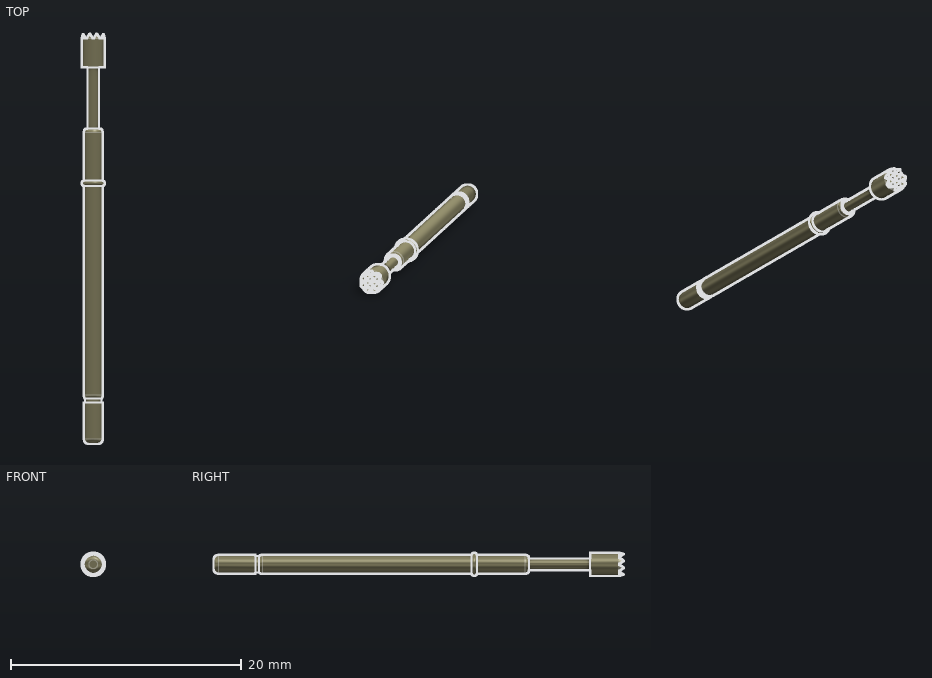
import cadquery as cq
import math

total_length = 35.7
groove_start = 3.65
groove_width = 0.32
flange_center = 22.67
flange_width = 0.45
barrel_end = 27.4
head_start = 32.75

head_radius = 1.017
flange_radius = head_radius
barrel_radius = 0.84
lip_radius = 0.68
groove_radius = 0.732
stem_radius = 0.518

tail_rounding = 0.45
crimp_rounding = tail_rounding

tooth_rows = 4
tooth_pitch = 0.6
tooth_height = 0.45
tooth_bevel = 0.09


def round_bar(radius, start, end):
    """Cylinder along Y between two stations."""
    return cq.Workplane("XZ", origin=(0, start, 0)).circle(radius).extrude(start - end)


def crimp_length(end_radius):
    """Length over which a crimp arc narrows the barrel to the given radius."""
    rise = crimp_rounding - (barrel_radius - end_radius)
    return math.sqrt(crimp_rounding**2 - rise**2)


def crimp_middle(end_radius):
    """Axial run and radial drop of the crimp arc at half its sweep."""
    half_sweep = math.asin(crimp_length(end_radius) / crimp_rounding) / 2
    return crimp_rounding * math.sin(half_sweep), crimp_rounding * (1 - math.cos(half_sweep))


def barrel():
    """Tube rolled inwards at the groove and at the lip, with a rounded tail."""
    groove_end = groove_start + groove_width
    tube_start = groove_end + crimp_length(groove_radius)
    tube_end = barrel_end - crimp_length(lip_radius)
    groove_run, groove_drop = crimp_middle(groove_radius)
    lip_run, lip_drop = crimp_middle(lip_radius)
    tail_flat = barrel_radius - tail_rounding
    tail_bend = tail_rounding * math.sqrt(0.5)
    profile = (
        cq.Workplane("XY")
        .lineTo(tail_flat, 0)
        .threePointArc((tail_flat + tail_bend, tail_rounding - tail_bend), (barrel_radius, tail_rounding))
        .lineTo(barrel_radius, groove_start)
        .lineTo(groove_radius, groove_start)
        .lineTo(groove_radius, groove_end)
        .threePointArc((barrel_radius - groove_drop, tube_start - groove_run), (barrel_radius, tube_start))
        .lineTo(barrel_radius, tube_end)
        .threePointArc((barrel_radius - lip_drop, tube_end + lip_run), (lip_radius, barrel_end))
        .lineTo(0, barrel_end)
        .close()
    )
    return profile.revolve(360, (0, 0, 0), (0, 1, 0))


def flange():
    """Rounded bead standing proud of the barrel."""
    half = flange_width / 2
    section = (
        cq.Workplane("XY", origin=(0, flange_center, 0))
        .moveTo(0, -half)
        .lineTo(barrel_radius, -half)
        .threePointArc((flange_radius, 0), (barrel_radius, half))
        .lineTo(0, half)
        .close()
    )
    return section.revolve(360, (0, 0, 0), (0, 1, 0))


def tooth_groove(offset):
    """V groove along Z at the given X, cut down from the tooth tips."""
    half_mouth = tooth_pitch / 2
    return (
        cq.Workplane("XY", origin=(0, 0, -head_radius))
        .moveTo(offset - half_mouth, total_length)
        .lineTo(offset, total_length - tooth_height)
        .lineTo(offset + half_mouth, total_length)
        .close()
        .extrude(2 * head_radius)
    )


def tooth_corners():
    """Blocks over the four corner cells of the grid, where no tooth fits inside the round head."""
    spacing = (tooth_rows - 1) * tooth_pitch
    return (
        cq.Workplane("XZ", origin=(0, total_length, 0))
        .rarray(spacing, spacing, 2, 2)
        .rect(tooth_pitch, tooth_pitch)
        .extrude(tooth_height)
    )


def head():
    """Round head whose bevelled face is cut into a square grid of teeth without its corners."""
    body = round_bar(head_radius, head_start, total_length)
    body = body.faces(">Y").chamfer(tooth_height, tooth_bevel)
    for row in range(tooth_rows + 1):
        groove = tooth_groove((row - tooth_rows / 2) * tooth_pitch)
        body = body.cut(groove)
        body = body.cut(groove.rotate((0, 0, 0), (0, 1, 0), 90))
    return body.cut(tooth_corners())


stem = round_bar(stem_radius, barrel_end, head_start)
result = barrel().union(flange()).union(stem).union(head())